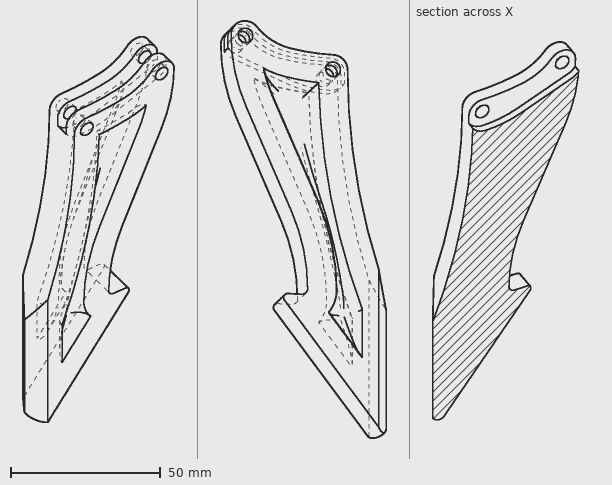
import cadquery as cq
import math

thickness = 15.0
depth = 55.0
height = 137.62

lug_radius = 5.0
pin_diameter = 5.0
rear_pin = (depth - lug_radius, height - lug_radius)
pin_spacing_y = 30.0
pin_drop_z = 10.0
front_pin = (rear_pin[0] - pin_spacing_y, rear_pin[1] - pin_drop_z)

saddle_tight_radius = 20.0
saddle_wide_radius = 75.0

slot_width = 5.25
slot_clearance_radius = 6.0
slot_floor_radius = 35.0

spine_radius = 220.0
rear_bulge_radius = 60.0
rear_hollow_radius = 65.0

neck_y = 28.75
hook_top_z = 45.0
toe_angle_degrees = 37.7
notch_radius = 2.0
barb_radius = 1.5
toe_radius = 2.5

edge_included_angle = 120.0

pocket_rim = 10.0
pocket_depth = 5.0

margin = 1.0


def around(center, radius, angle):
    """Point on a circle, with the angle in radians from +Y toward +Z."""
    return (center[0] + radius * math.cos(angle), center[1] + radius * math.sin(angle))


def arc_between(sketch, center, radius, start_angle, end_angle):
    """Continue a sketch along a circle up to the end angle."""
    middle = around(center, radius, (start_angle + end_angle) / 2)
    return sketch.threePointArc(middle, around(center, radius, end_angle))


def heading(start, end):
    """Direction from start to end, in radians from +Y toward +Z."""
    return math.atan2(end[1] - start[1], end[0] - start[0])


def circle_height(center, radius, y):
    """Lower height at which a circle passes the given y."""
    return center[1] - math.sqrt(radius**2 - (y - center[0]) ** 2)


def circle_crossing(first, first_radius, second, second_radius):
    """Crossing point of two circles that lies to the right of the line from first to second."""
    span = math.dist(first, second)
    along = (first_radius**2 - second_radius**2 + span**2) / (2 * span)
    turn = math.acos(along / first_radius)
    return around(first, first_radius, heading(first, second) - turn)


wide_center = (front_pin[0], front_pin[1] + lug_radius + saddle_wide_radius)
tight_center = circle_crossing(
    wide_center, saddle_wide_radius - saddle_tight_radius,
    rear_pin, lug_radius + saddle_tight_radius,
)
lug_angle = heading(rear_pin, tight_center) % (2 * math.pi)
saddle_angle = heading(wide_center, tight_center)

notch_center = (neck_y + notch_radius, hook_top_z + notch_radius)
bulge_center = (depth - rear_bulge_radius, rear_pin[1])
hollow_center = (neck_y + rear_hollow_radius, notch_center[1])
rear_span = math.dist(bulge_center, hollow_center)
rear_angle = heading(bulge_center, hollow_center)
rear_angle += math.acos((rear_bulge_radius + rear_hollow_radius) / rear_span)

spine_center = (front_pin[0] - lug_radius - spine_radius, front_pin[1])
toe_angle = math.radians(toe_angle_degrees)
toe_z = toe_radius - toe_radius / math.tan(toe_angle / 2)
barb_y = (hook_top_z - toe_z) * math.tan(toe_angle)


def make_blank():
    """Side outline in the YZ plane, extruded across the thickness, with the hook rounded."""
    spine_end = (0, circle_height(spine_center, spine_radius, 0))

    outline = cq.Workplane("YZ", origin=(-thickness / 2, 0, 0)).moveTo(depth, rear_pin[1])
    outline = arc_between(outline, rear_pin, lug_radius, 0, lug_angle)
    outline = arc_between(
        outline, tight_center, saddle_tight_radius, lug_angle - math.pi, saddle_angle
    )
    outline = arc_between(outline, wide_center, saddle_wide_radius, saddle_angle, -math.pi / 2)
    outline = arc_between(outline, front_pin, lug_radius, math.pi / 2, math.pi)
    outline = arc_between(outline, spine_center, spine_radius, 0, heading(spine_center, spine_end))
    outline = outline.lineTo(0, toe_z).lineTo(barb_y, hook_top_z).lineTo(notch_center[0], hook_top_z)
    outline = arc_between(outline, notch_center, notch_radius, -math.pi / 2, -math.pi)
    outline = arc_between(
        outline, hollow_center, rear_hollow_radius, math.pi, rear_angle + math.pi
    )
    outline = outline.lineTo(*around(bulge_center, rear_bulge_radius, rear_angle))
    outline = arc_between(outline, bulge_center, rear_bulge_radius, rear_angle, 0)
    blank = outline.close().extrude(thickness)

    corners = [(barb_y, hook_top_z, barb_radius), (0, toe_z, toe_radius)]
    for y, z, radius in corners:
        blank = blank.edges(cq.selectors.NearestToPointSelector((0, y, z))).fillet(radius)
    return blank


def draw_pocket_outline():
    """Side outline set in by the rim: every arc keeps its center, and the lugs drop out."""
    tight_radius = saddle_tight_radius + pocket_rim
    wide_radius = saddle_wide_radius + pocket_rim
    inner_spine_radius = spine_radius + pocket_rim
    hollow_radius = rear_hollow_radius + pocket_rim
    bulge_radius = rear_bulge_radius - pocket_rim
    inner_notch_radius = notch_radius + pocket_rim

    rear_tip = circle_crossing(bulge_center, bulge_radius, tight_center, tight_radius)
    front_tip = circle_crossing(spine_center, inner_spine_radius, wide_center, wide_radius)
    spine_end = (pocket_rim, circle_height(spine_center, inner_spine_radius, pocket_rim))
    bottom_tip = (pocket_rim, toe_z + pocket_rim / math.tan(toe_angle / 2))

    normal_distance = (notch_center[0] - bottom_tip[0]) * math.cos(toe_angle)
    normal_distance -= (notch_center[1] - bottom_tip[1]) * math.sin(toe_angle)
    heel_angle = -toe_angle - math.acos(-normal_distance / inner_notch_radius)

    outline = cq.Workplane("YZ", origin=(-thickness / 2, 0, 0)).moveTo(*rear_tip)
    outline = arc_between(
        outline, tight_center, tight_radius, heading(tight_center, rear_tip), saddle_angle
    )
    outline = arc_between(
        outline, wide_center, wide_radius, saddle_angle, heading(wide_center, front_tip)
    )
    outline = arc_between(
        outline, spine_center, inner_spine_radius,
        heading(spine_center, front_tip), heading(spine_center, spine_end),
    )
    outline = outline.lineTo(*bottom_tip)
    outline = outline.lineTo(*around(notch_center, inner_notch_radius, heel_angle))
    outline = arc_between(outline, notch_center, inner_notch_radius, heel_angle, -math.pi)
    outline = arc_between(
        outline, hollow_center, hollow_radius, math.pi, rear_angle + math.pi
    )
    outline = outline.lineTo(*around(bulge_center, bulge_radius, rear_angle))
    outline = arc_between(
        outline, bulge_center, bulge_radius, rear_angle, heading(bulge_center, rear_tip)
    )
    return outline.close()


def make_pocket():
    """Pocket in the -X side, its quarter-round wall running along every edge of its outline."""
    pocket = draw_pocket_outline().extrude(pocket_depth)
    outline = draw_pocket_outline().wires().val()
    half_chord = pocket_depth * math.sqrt(0.5)
    for side in outline.Edges():
        along = side.tangentAt(0)
        plane = cq.Plane(origin=side.startPoint(), xDir=cq.Vector(1, 0, 0).cross(along), normal=along)
        wall = (
            cq.Workplane(plane)
            .moveTo(-margin, 0).lineTo(0, 0)
            .threePointArc((pocket_depth - half_chord, half_chord), (pocket_depth, pocket_depth))
            .lineTo(pocket_depth, pocket_depth + margin)
            .lineTo(-margin, pocket_depth + margin).close()
            .sweep(cq.Workplane(cq.Wire.assembleEdges([side])))
        )
        pocket = pocket.cut(wall)
    return pocket


def make_slot():
    """Slot between the lugs, its floor tangent to a clearance circle around each pin."""
    floor_center = (front_pin[0], front_pin[1] - slot_clearance_radius + slot_floor_radius)
    span = math.dist(floor_center, rear_pin)
    tilt = math.acos((slot_floor_radius - slot_clearance_radius) / span)
    floor_angle = heading(floor_center, rear_pin) - tilt
    front_y = front_pin[0] - slot_clearance_radius
    rear_y = rear_pin[0] + slot_clearance_radius
    top_z = height + margin

    profile = cq.Workplane("YZ").moveTo(front_y, front_pin[1])
    profile = arc_between(profile, front_pin, slot_clearance_radius, -math.pi, -math.pi / 2)
    profile = arc_between(profile, floor_center, slot_floor_radius, -math.pi / 2, floor_angle)
    profile = profile.lineTo(*around(rear_pin, slot_clearance_radius, floor_angle))
    profile = arc_between(profile, rear_pin, slot_clearance_radius, floor_angle, 0)
    profile = profile.lineTo(rear_y, top_z).lineTo(front_y, top_z).close()
    return profile.extrude(slot_width / 2, both=True)


def make_pin_holes():
    return (
        cq.Workplane("YZ").pushPoints([rear_pin, front_pin])
        .circle(pin_diameter / 2).extrude(thickness, both=True)
    )


def make_edge_bevel():
    """Waste on the +X side of the knife edge; the mirror image serves the other side."""
    slope = math.tan(math.radians(edge_included_angle / 2))
    outer_x = thickness / 2 + margin
    return (
        cq.Workplane("XY")
        .polyline([(0, 0), (outer_x, outer_x / slope), (outer_x, -margin), (0, -margin)])
        .close().extrude(height)
    )


result = make_blank().cut(make_slot()).cut(make_pin_holes())
for waste in (make_pocket(), make_edge_bevel()):
    result = result.cut(waste).cut(waste.mirror("YZ"))